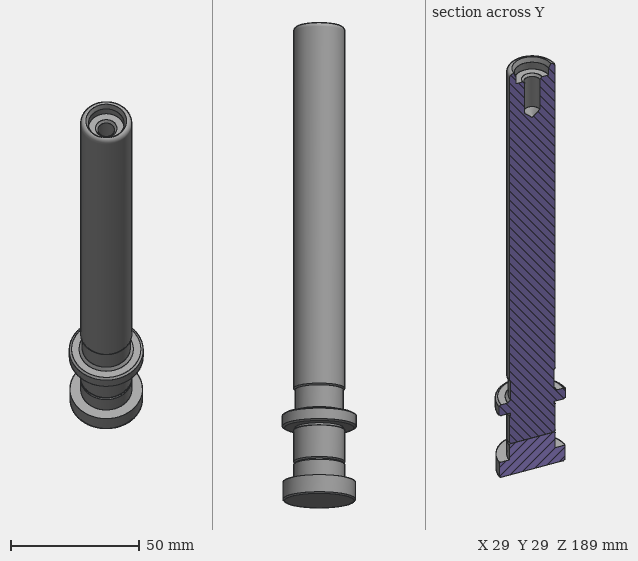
import cadquery as cq

total_length = 189.0
joint_z = 15.0

disc_radius = 14.2
disc_height = 7.4
disc_chamfer = 0.5
spigot_radius = 10.0
joint_chamfer = 0.5

shank_radius = 10.0
neck_radius = 9.5
neck_top_z = 44.8
neck_step_chamfer = shank_radius - neck_radius
collar_diameter = 29.0
collar_radius = collar_diameter / 2
collar_bottom_z = 29.1
collar_top_z = 34.4
collar_chamfer = 1.0
collar_chamfer_height = 0.5
collar_cone_size = 1.1
undercut_height = 1.0
top_round = 1.9

recess_radius = 7.0
recess_lead_in = 1.0
recess_lead_in_depth = 1.9
recess_depth = 5.1
hole_radius = 3.2
hole_mouth_radius = 4.2
hole_depth = 15.1
hole_tip_height = 2.8


def make_end_cap():
    """Disc and spigot, with a chamfer at the disc base and at the joint."""
    disc = cq.Workplane("XY").circle(disc_radius).extrude(disc_height).faces("<Z").chamfer(disc_chamfer)
    spigot_height = joint_z - disc_height
    spigot = cq.Workplane("XY").workplane(offset=disc_height).circle(spigot_radius).extrude(spigot_height)
    return disc.union(spigot.faces(">Z").chamfer(joint_chamfer))


def make_pillar_blank():
    """Solid pillar revolved from its half profile (radius, height)."""
    undercut_z = collar_bottom_z - undercut_height
    arc_offset = top_round * 0.5 ** 0.5
    round_start_z = total_length - top_round
    round_centre_radius = shank_radius - top_round
    profile = (
        cq.Workplane("XZ")
        .moveTo(0, joint_z)
        .lineTo(shank_radius - joint_chamfer, joint_z)
        .lineTo(shank_radius, joint_z + joint_chamfer)
        .lineTo(shank_radius, undercut_z)
        .lineTo(neck_radius, undercut_z)
        .lineTo(neck_radius, collar_bottom_z)
        .lineTo(collar_radius - collar_chamfer, collar_bottom_z)
        .lineTo(collar_radius, collar_bottom_z + collar_chamfer_height)
        .lineTo(collar_radius, collar_top_z - collar_chamfer_height)
        .lineTo(collar_radius - collar_chamfer, collar_top_z)
        .lineTo(neck_radius + collar_cone_size, collar_top_z)
        .lineTo(neck_radius, collar_top_z + collar_cone_size)
        .lineTo(neck_radius, neck_top_z - neck_step_chamfer)
        .lineTo(shank_radius, neck_top_z)
        .lineTo(shank_radius, round_start_z)
        .threePointArc(
            (round_centre_radius + arc_offset, round_start_z + arc_offset),
            (round_centre_radius, total_length),
        )
        .lineTo(0, total_length)
        .close()
    )
    return profile.revolve(360, (0, 0, 0), (0, 1, 0))


def make_top_bore():
    """Cutter for the recess with its conical lead-in and the countersunk, cone-ended hole below it."""
    recess_floor_z = total_length - recess_depth
    mouth_depth = hole_mouth_radius - hole_radius
    hole_end_z = recess_floor_z - hole_depth
    profile = (
        cq.Workplane("XZ")
        .moveTo(0, total_length)
        .lineTo(recess_radius + recess_lead_in, total_length)
        .lineTo(recess_radius, total_length - recess_lead_in_depth)
        .lineTo(recess_radius, recess_floor_z)
        .lineTo(hole_mouth_radius, recess_floor_z)
        .lineTo(hole_radius, recess_floor_z - mouth_depth)
        .lineTo(hole_radius, hole_end_z)
        .lineTo(0, hole_end_z - hole_tip_height)
        .close()
    )
    return profile.revolve(360, (0, 0, 0), (0, 1, 0))


end_cap = make_end_cap()
pillar = make_pillar_blank().cut(make_top_bore())

result = cq.Compound.makeCompound([end_cap.val(), pillar.val()])